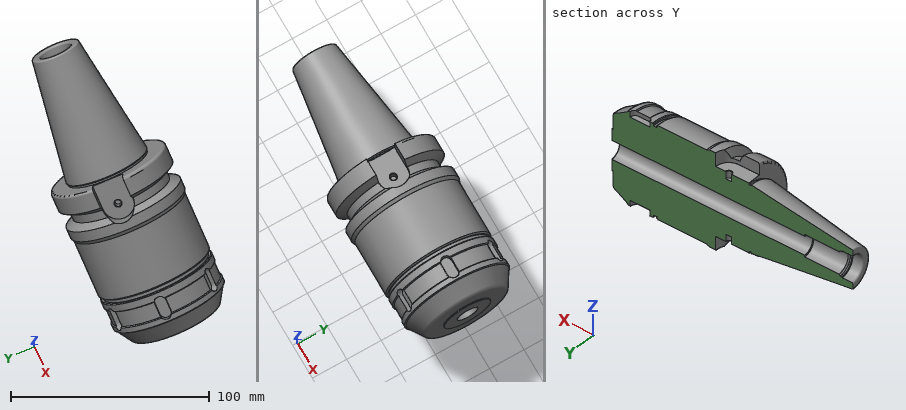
import cadquery as cq

total_length = 155.4

taper_rate = 7 / 24
taper_small_dia = 25.5
taper_end_x = 65.5
taper_large_dia = taper_small_dia + taper_rate * taper_end_x
taper_tip_fillet = 0.8
neck_start_x = 66.0
neck_dia = 43.5

flange_dia = 63.0
flange_x = 67.0
flange_fillet = 1.4
groove_dia = 53.1
groove_start_x = 77.1
groove_floor_start_x = 79.7
groove_floor_end_x = 84.2
groove_end_x = 86.9
flange_end_x = 92.5

body_dia = 61.0
body_start_x = 94.3
body_end_x = 126.7
body_chamfer = 0.8
undercut_dia = 58.0
undercut_end_x = 128.5

nut_dia = body_dia
nut_chamfer = 0.5
band_dia = 59.7
band_wall_length = 0.5
band_start_x = 132.7
band_end_x = 142.0
cone_x = 145.3
cone_start_dia = 59.7
nose_x = 154.8
nose_dia = 47.9
nose_fillet = 2.5
sleeve_dia = 27.0

wrench_slot_count = 6
wrench_slot_length = 12.5
wrench_slot_width = 6.0
wrench_slot_center_x = 137.4
wrench_slot_floor_radius = 27.0

drive_slot_angles = (0, 180)
drive_slot_width = 16.5
drive_slot_center_x = 80.2
drive_slot_floor_radius = 22.7
pin_hole_dia = 3.4
pin_hole_mouth_dia = 4.0
pin_hole_chamfer = (pin_hole_mouth_dia - pin_hole_dia) / 2
pin_hole_depth = 4.7

pilot_dia = 17.0
pilot_depth = 7.0
pilot_mouth_fillet = 1.1
counterbore_dia = 16.0
counterbore_start_depth = 7.3
counterbore_end_depth = 8.2
thread_dia = 14.3
thread_start_depth = 9.0
thread_depth = 31.1
through_dia = 12.0

slot_cut_height = flange_dia / 2


def revolve_about_x(steps):
    """Solid of revolution from (x, diameter) steps, closed along the X axis."""
    first_x = steps[0][0]
    last_x = steps[-1][0]
    outline = [(first_x, 0)]
    outline += [(x, dia / 2) for x, dia in steps]
    outline += [(last_x, 0)]
    return cq.Workplane("XY").polyline(outline).close().revolve(360, (0, 0, 0), (1, 0, 0))


def circle_at(x, dia):
    """Selector for circular edges up to the given diameter in the plane at x."""
    margin = 0.08
    reach = dia / 2 + margin
    return cq.selectors.BoxSelector(
        (x - margin, -reach, -reach), (x + margin, reach, reach), boundingbox=True
    )


def make_shank_and_body():
    steps = [
        (0, taper_small_dia),
        (taper_end_x, taper_large_dia),
        (neck_start_x, neck_dia),
        (flange_x, neck_dia),
        (flange_x, flange_dia),
        (groove_start_x, flange_dia),
        (groove_floor_start_x, groove_dia),
        (groove_floor_end_x, groove_dia),
        (groove_end_x, flange_dia),
        (flange_end_x, flange_dia),
        (body_start_x, body_dia),
        (body_end_x - body_chamfer, body_dia),
        (body_end_x, body_dia - 2 * body_chamfer),
        (body_end_x, undercut_dia),
        (undercut_end_x, undercut_dia),
    ]
    shank = revolve_about_x(steps)
    shank = shank.edges(circle_at(0, taper_small_dia)).fillet(taper_tip_fillet)
    largest_circle = cq.selectors.RadiusNthSelector(-1)
    flange_rim = shank.edges(circle_at(flange_x, flange_dia)).edges(largest_circle)
    return flange_rim.fillet(flange_fillet)


def make_nut():
    steps = [
        (undercut_end_x, nut_dia - 2 * nut_chamfer),
        (undercut_end_x + nut_chamfer, nut_dia),
        (band_start_x, nut_dia),
        (band_start_x + band_wall_length, band_dia),
        (band_end_x - band_wall_length, band_dia),
        (band_end_x, nut_dia),
        (cone_x - nut_chamfer, nut_dia),
        (cone_x, cone_start_dia),
        (nose_x, nose_dia),
    ]
    nut = revolve_about_x(steps).edges(circle_at(nose_x, nose_dia)).fillet(nose_fillet)
    sleeve = revolve_about_x([(undercut_end_x, sleeve_dia), (total_length, sleeve_dia)])
    return nut.union(sleeve)


def make_bore():
    steps = [
        (0, pilot_dia),
        (pilot_depth, pilot_dia),
        (counterbore_start_depth, counterbore_dia),
        (counterbore_end_depth, counterbore_dia),
        (thread_start_depth, thread_dia),
        (thread_depth, thread_dia),
        (thread_depth, through_dia),
        (total_length, through_dia),
    ]
    return revolve_about_x(steps)


def make_drive_slot():
    floor = cq.Workplane("XY", origin=(drive_slot_center_x, 0, drive_slot_floor_radius))
    round_end = floor.circle(drive_slot_width / 2).extrude(slot_cut_height)
    run_length = drive_slot_center_x - neck_start_x
    run = (
        floor.center(-run_length / 2, 0)
        .rect(run_length, drive_slot_width)
        .extrude(slot_cut_height)
    )
    hole = floor.circle(pin_hole_dia / 2).extrude(-pin_hole_depth)
    countersink = (
        floor.circle(pin_hole_mouth_dia / 2)
        .workplane(offset=-pin_hole_chamfer)
        .circle(pin_hole_dia / 2)
        .loft()
    )
    return round_end.union(run).union(hole).union(countersink)


def make_wrench_slot():
    return (
        cq.Workplane("XY", origin=(wrench_slot_center_x, 0, wrench_slot_floor_radius))
        .slot2D(wrench_slot_length, wrench_slot_width)
        .extrude(slot_cut_height)
    )


def cut_around_axis(part, cutter, angles):
    for angle in angles:
        part = part.cut(cutter.rotate((0, 0, 0), (1, 0, 0), angle))
    return part


wrench_slot_angles = [i * 360 / wrench_slot_count for i in range(wrench_slot_count)]

holder = make_shank_and_body().union(make_nut())
holder = holder.cut(make_bore())
holder = holder.edges(circle_at(0, pilot_dia)).fillet(pilot_mouth_fillet)
holder = cut_around_axis(holder, make_drive_slot(), drive_slot_angles)
result = cut_around_axis(holder, make_wrench_slot(), wrench_slot_angles)